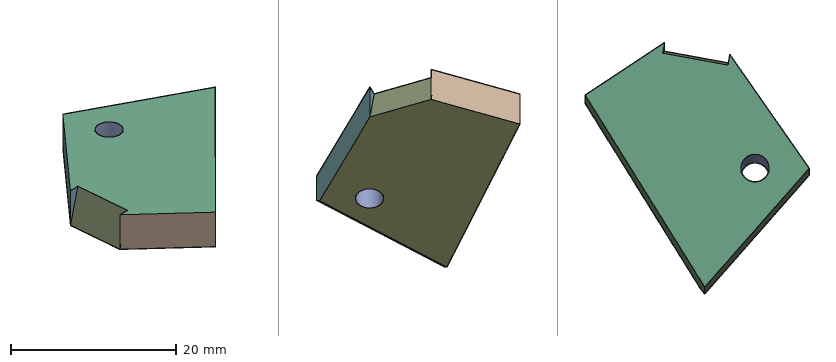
import cadquery as cq

length = 26.47
width = 23.82
thickness = 5.0
left_corner_y = 4.42
right_corner_y = 15.22
bevel_start = (16.5, 0)
bevel_end = (23.43, 4.02)

bevel_inset = 1.35
chamfer_size = 1.0
hole_diameter = 3.4
hole_center = (5.0, 8.68)


def make_plate():
    outline = [
        (0, left_corner_y),
        bevel_start,
        bevel_end,
        (length, right_corner_y),
        (0, width),
    ]
    return cq.Workplane("XY").polyline(outline).close().extrude(thickness)


def make_bevel_cutter():
    """Wedge along the short side, inset at the top and running out at the bottom edge."""
    side = cq.Vector(*bevel_end) - cq.Vector(*bevel_start)
    profile_plane = cq.Plane(
        origin=(*bevel_start, 0),
        xDir=(side.y, -side.x, 0),
        normal=(-side.x, -side.y, 0),
    )
    return (
        cq.Workplane(profile_plane)
        .polyline([(0, 0), (0, thickness), (-bevel_inset, thickness)])
        .close()
        .extrude(-side.Length)
    )


plate = make_plate().faces("<X").edges("<Z").chamfer(chamfer_size)
hole = cq.Workplane("XY").center(*hole_center).circle(hole_diameter / 2).extrude(thickness)
result = plate.cut(make_bevel_cutter()).cut(hole)